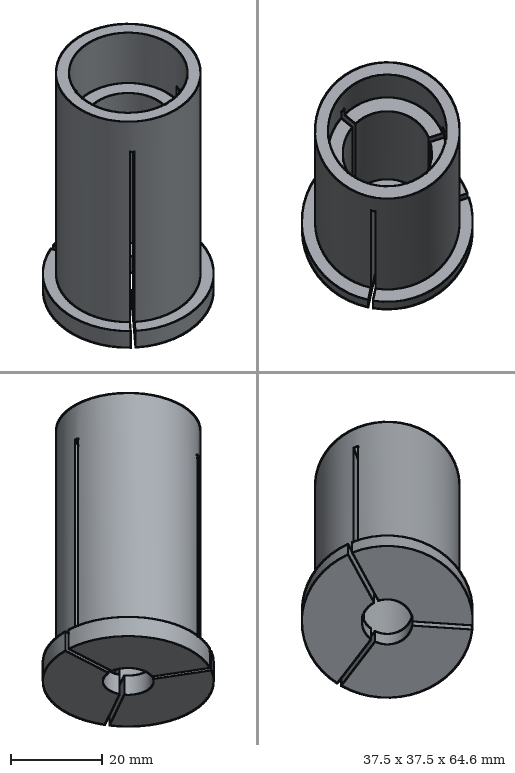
import cadquery as cq
import math

TOTAL_HEIGHT = 64.6
FLANGE_DIAMETER = 37.5
FLANGE_HEIGHT = 5.0
SLEEVE_DIAMETER = 31.7

UPPER_BORE_DIAMETER = 26.0
UPPER_BORE_DEPTH = 15.0
MIDDLE_BORE_DIAMETER = 19.5
LOWER_BORE_DIAMETER = 11.1
LOWER_BORE_HEIGHT = FLANGE_HEIGHT

SLOT_COUNT = 3
SLOT_WIDTH = 1.05
SLOT_TOP_MARGIN = 9.0
SLOT_ROOF_ANGLE = 38.0
FIRST_SLOT_ANGLE = 90.0


def cylinder(diameter, bottom, top):
    """Upright cylinder on the part axis between two heights."""
    return cq.Workplane("XY").workplane(offset=bottom).circle(diameter / 2).extrude(top - bottom)


def make_body():
    """Plain sleeve standing on its flange."""
    flange = cylinder(FLANGE_DIAMETER, 0, FLANGE_HEIGHT)
    sleeve = cylinder(SLEEVE_DIAMETER, 0, TOTAL_HEIGHT)
    return flange.union(sleeve)


def make_stepped_bore():
    """Through bore that narrows in two steps towards the flange."""
    upper_ledge = TOTAL_HEIGHT - UPPER_BORE_DEPTH
    lower = cylinder(LOWER_BORE_DIAMETER, 0, TOTAL_HEIGHT)
    middle = cylinder(MIDDLE_BORE_DIAMETER, LOWER_BORE_HEIGHT, TOTAL_HEIGHT)
    upper = cylinder(UPPER_BORE_DIAMETER, upper_ledge, TOTAL_HEIGHT)
    return lower.union(middle).union(upper)


def make_slot(angle):
    """Radial slot from the axis outwards, open at the flange end, with a slanted closed end."""
    reach = FLANGE_DIAMETER
    roof_slope = math.tan(math.radians(SLOT_ROOF_ANGLE))
    axis_height = TOTAL_HEIGHT - SLOT_TOP_MARGIN - SLEEVE_DIAMETER / 2 * roof_slope
    profile = [
        (0, 0),
        (reach, 0),
        (reach, axis_height + reach * roof_slope),
        (0, axis_height),
    ]
    slot = cq.Workplane("XZ").polyline(profile).close().extrude(SLOT_WIDTH / 2, both=True)
    return slot.rotate((0, 0, 0), (0, 0, 1), angle)


result = make_body().cut(make_stepped_bore())
for index in range(SLOT_COUNT):
    result = result.cut(make_slot(FIRST_SLOT_ANGLE + index * 360 / SLOT_COUNT))